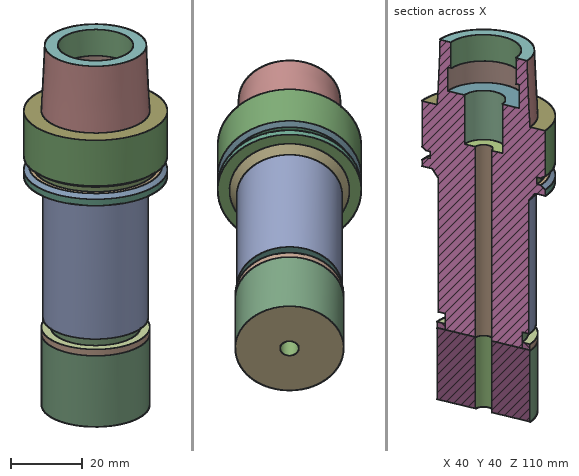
import cadquery as cq

NUT_TOP = 21.8
RING_TOP = 23.8
BODY_BOTTOM = 26.7
BODY_TOP = 67.5
FLANGE_BOTTOM = 70.0
LOWER_RIM_TOP = 71.9
GROOVE_BOTTOM = 73.0
GROOVE_TOP = 75.0
COLLAR_RIM_BOTTOM = 76.0
COLLAR_TOP = 90.0
TOTAL_HEIGHT = 110.0

NUT_DIAMETER = 30.2
NECK_DIAMETER = 25.1
BODY_DIAMETER = 29.5
FLARE_TOP_DIAMETER = 33.4
FLANGE_DIAMETER = 40.0
RIM_EDGE_DIAMETER = 37.2
GROOVE_DIAMETER = 34.8
TAPER_BOTTOM_DIAMETER = 30.2
TAPER_TOP_DIAMETER = 28.4

MOUTH_DIAMETER = 21.0
MOUTH_DEPTH = 8.0
RECESS_DIAMETER = 23.1
RECESS_DEPTH = 15.1
COUNTERBORE_DIAMETER = 12.2
COUNTERBORE_DEPTH = 30.0
BORE_DIAMETER = 5.2


def cylinder(diameter, bottom, top):
    """Solid cylinder on the Z axis between two levels."""
    return cq.Workplane("XY").workplane(offset=bottom).circle(diameter / 2).extrude(top - bottom)


def make_holder():
    """Tapered shank, grooved flange, long body and neck, with a stepped bore."""
    profile = [
        (0, NUT_TOP),
        (NECK_DIAMETER / 2, NUT_TOP),
        (NECK_DIAMETER / 2, BODY_BOTTOM),
        (BODY_DIAMETER / 2, BODY_BOTTOM),
        (BODY_DIAMETER / 2, BODY_TOP),
        (FLARE_TOP_DIAMETER / 2, FLANGE_BOTTOM),
        (FLANGE_DIAMETER / 2, FLANGE_BOTTOM),
        (FLANGE_DIAMETER / 2, LOWER_RIM_TOP),
        (RIM_EDGE_DIAMETER / 2, GROOVE_BOTTOM),
        (GROOVE_DIAMETER / 2, GROOVE_BOTTOM),
        (GROOVE_DIAMETER / 2, GROOVE_TOP),
        (RIM_EDGE_DIAMETER / 2, GROOVE_TOP),
        (FLANGE_DIAMETER / 2, COLLAR_RIM_BOTTOM),
        (FLANGE_DIAMETER / 2, COLLAR_TOP),
        (TAPER_BOTTOM_DIAMETER / 2, COLLAR_TOP),
        (TAPER_TOP_DIAMETER / 2, TOTAL_HEIGHT),
        (0, TOTAL_HEIGHT),
    ]
    holder = cq.Workplane("XZ").polyline(profile).close().revolve(360, (0, 0, 0), (0, 1, 0))

    mouth_bottom = TOTAL_HEIGHT - MOUTH_DEPTH
    recess_bottom = TOTAL_HEIGHT - RECESS_DEPTH
    counterbore_bottom = TOTAL_HEIGHT - COUNTERBORE_DEPTH
    holder = holder.cut(cylinder(MOUTH_DIAMETER, mouth_bottom, TOTAL_HEIGHT))
    holder = holder.cut(cylinder(RECESS_DIAMETER, recess_bottom, mouth_bottom))
    holder = holder.cut(cylinder(COUNTERBORE_DIAMETER, counterbore_bottom, recess_bottom))
    return holder.cut(cylinder(BORE_DIAMETER, NUT_TOP, counterbore_bottom))


def make_ring():
    """Ring around the lower end of the neck, resting on the nut."""
    return cylinder(NUT_DIAMETER, NUT_TOP, RING_TOP).cut(cylinder(NECK_DIAMETER, NUT_TOP, RING_TOP))


def make_nut():
    """Cylindrical nut below the holder, with the bore passing through it."""
    return cylinder(NUT_DIAMETER, 0, NUT_TOP).cut(cylinder(BORE_DIAMETER, 0, NUT_TOP))


holder = make_holder()
ring = make_ring()
nut = make_nut()

result = cq.Compound.makeCompound([holder.val(), ring.val(), nut.val()])